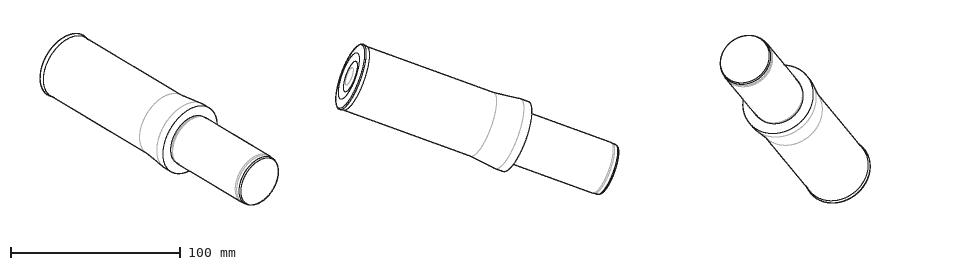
import cadquery as cq

total_length = 169.0
lip_x = 1.5
head_length = 3.9
flare_start_x = 86.9
collar_start_x = 103.8
collar_end_x = 109.0
neck_end_x = 110.0
shank_start_x = 111.0
shank_end_x = 165.0
pilot_start_x = 166.0
end_chamfer_length = 1.0
end_chamfer_depth = 0.5

lip_diameter = 41.0
body_diameter = 40.0
collar_diameter = 44.0
neck_diameter = 31.5
shank_diameter = 32.0

face_diameter = 39.7
face_edge_x = 0.8
rim_diameter = 28.9
valley_diameter = 19.1
valley_depth = 1.0
island_diameter = 10.8
island_depth = 0.3
dimple_depth = 0.8


def revolve_about_x(outline):
    """Turn a closed (x, radius) outline about the X axis into one solid."""
    return cq.Workplane("XZ").polyline(outline).close().revolve(360, (0, 0, 0), (1, 0, 0))


def make_cutting_head():
    """Short head with a dished face and a lip that tapers back to the body diameter."""
    return revolve_about_x([
        (dimple_depth, 0),
        (island_depth, island_diameter / 2),
        (valley_depth, valley_diameter / 2),
        (0, rim_diameter / 2),
        (face_edge_x, face_diameter / 2),
        (lip_x, lip_diameter / 2),
        (head_length, body_diameter / 2),
        (head_length, 0),
    ])


def make_holder():
    """Cylindrical body with a flared collar, a relieved neck and a stepped shank."""
    return revolve_about_x([
        (head_length, 0),
        (head_length, body_diameter / 2),
        (flare_start_x, body_diameter / 2),
        (collar_start_x, collar_diameter / 2),
        (collar_end_x, collar_diameter / 2),
        (collar_end_x, neck_diameter / 2),
        (neck_end_x, neck_diameter / 2),
        (shank_start_x, shank_diameter / 2),
        (shank_end_x, shank_diameter / 2),
        (pilot_start_x, neck_diameter / 2),
        (total_length - end_chamfer_length, neck_diameter / 2),
        (total_length, neck_diameter / 2 - end_chamfer_depth),
        (total_length, 0),
    ])


cutting_head = make_cutting_head()
holder = make_holder()
result = cq.Compound.makeCompound([cutting_head.val(), holder.val()])